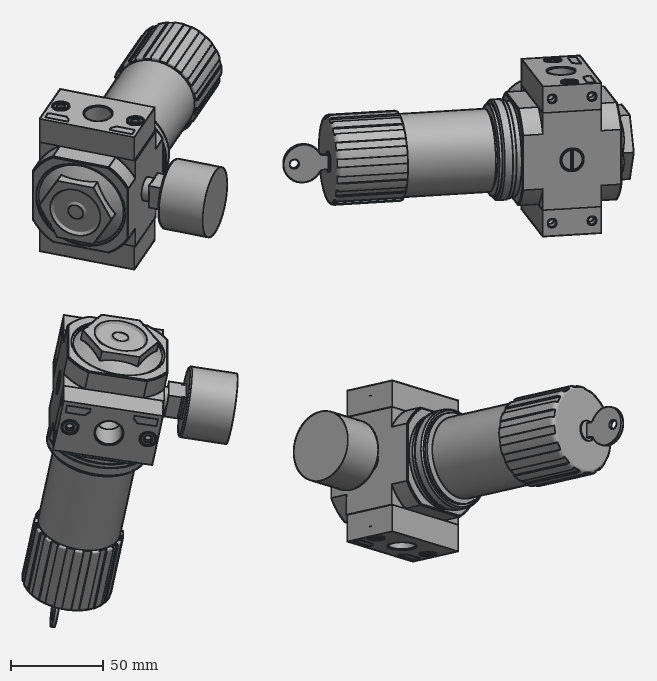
import cadquery as cq
import math


block_left_x = -27.9
block_right_x = 27.5
block_half_z = 27.5
block_half_y = 27.7
block_corner_radius = 31.9
block_edge_chamfer = 0.5
plate_width = 32.5

port_diameter = 14.9
port_mouth_diameter = 16.0
plug_diameter = 12.2
plug_rim_diameter = 11.5
plug_mouth_diameter = 13.2
plug_depth = 7.6
plug_slot_width = 1.1
plug_slot_depth = 1.1

collar_foot_radius = 26.2
collar_foot_end = 30.5
collar_lip_radius = 27.0
collar_lip_end = 32.7
collar_ring_radius = 27.5
collar_ring_end = 38.2
collar_ring_chamfer = 1.0
collar_cover_radius = 25.2
collar_cover_end = 39.7
neck_radius = 20.0
sleeve_radius = 22.7
sleeve_start = 41.3
knob_radius = 24.6
knob_start = 90.2
knob_end = 129.9
knob_end_rounding = 2.5
knob_start_rounding = 1.1
flute_count = 16
flute_width = 4.4
flute_floor_radius = 23.5

lock_offset_x = -3.2
lock_diameter = 11.3
lock_end = 130.5
key_thickness = 2.0
key_tip = 155.0
key_head_radius = 10.7
key_neck_width = 8.0
key_neck_fillet = 2.9
key_hole_diameter = 5.2
key_hole_y = 149.2

dome_radius = 36.3
dome_groove_radius = 25.8
dome_groove_depth = 1.0
dome_cut_y = -32.5
hex_sides = 6
hex_across_flats = 36.3
hex_turn = 30
hex_end = -36.0
recess_mouth_radius = 14.5
recess_floor_radius = 13.2
recess_depth = 1.7
boss_height = 1.1
boss_base_diameter = 11.3
boss_top_diameter = 8.5
boss_fillet = 0.5

plate_right_x = 27.0
total_height = 85.0
side_hole_y = 11.0
side_hole_z = 35.1
side_hole_diameter = 4.2
side_hole_mouth_diameter = 5.2
side_hole_depth = 5.7
label_length = 13.0
label_height = 4.5
label_top_length = 10.7
label_side_height = 2.0
label_margin = 2.3
label_bottom_y = -13.5
label_depth = 0.2
label_corner_radius = 0.8

screw_x = 21.5
screw_head_diameter = 8.8
screw_head_chamfer = 0.5
screw_seat_diameter = 9.5
screw_head_height = 5.7
screw_shank_diameter = 5.7
screw_thread_depth = 7.6
socket_diameter = 4.2
socket_mouth_diameter = 5.0
socket_depth = 2.3

gauge_radius = 19.5
gauge_start = 41.5
gauge_end = 67.6
gauge_edge_chamfer = 1.0
stem_diameter = 13.2
square_size = 14.0
square_start = 31.9
square_groove_start = 39.2
square_groove_width = 1.1
square_groove_depth = 0.8

drill_point_angle = 118

edge_pick_margin = 0.2

plate_outer_z = total_height / 2
block_length = block_right_x - block_left_x
block_centre_x = (block_right_x + block_left_x) / 2
plate_length = plate_right_x - block_left_x
plate_height = plate_outer_z - block_half_z
plate_centre_x = (plate_right_x + block_left_x) / 2
seat_z = plate_outer_z - screw_head_height
screw_tip_z = block_half_z - screw_thread_depth


def y_cylinder(radius, start, end):
    """Cylinder around the Y axis between two Y positions."""
    return cq.Workplane("XZ", origin=(0, start, 0)).circle(radius).extrude(start - end)


def drilled_cone(radius):
    """Height of the conical drill point of a hole with this radius."""
    return radius / math.tan(math.radians(drill_point_angle / 2))


def blind_hole(mouth_diameter, diameter, depth):
    """Hole cutter along -Z from the origin with a chamfered mouth and a drill-point bottom."""
    radius = diameter / 2
    mouth_radius = mouth_diameter / 2
    profile = [
        (0, 0),
        (mouth_radius, 0),
        (radius, radius - mouth_radius),
        (radius, -depth),
        (0, -depth - drilled_cone(radius)),
    ]
    return cq.Workplane("XZ").polyline(profile).close().revolve(360, (0, 0, 0), (0, 1, 0))


def make_block():
    """Square block with rounded corners and a full square band under the plates."""
    block = cq.Workplane("XY").box(block_length, 2 * block_half_y, 2 * block_half_z)
    block = block.translate((block_centre_x, 0, 0))
    block = block.intersect(y_cylinder(block_corner_radius, -block_half_y, block_half_y))
    block = block.faces("<Y or >Y").chamfer(block_edge_chamfer)
    band = cq.Workplane("XY").box(block_length, plate_width, 2 * block_half_z)
    return block.union(band.translate((block_centre_x, 0, 0)))


def make_collar_and_sleeve():
    """Stepped collar, neck and sleeve turned around the Y axis."""
    profile = [
        (0, block_half_y),
        (collar_foot_radius, block_half_y),
        (collar_foot_radius, collar_foot_end),
        (collar_lip_radius, collar_foot_end),
        (collar_lip_radius, collar_lip_end),
        (collar_ring_radius, collar_lip_end),
        (collar_ring_radius, collar_ring_end - collar_ring_chamfer),
        (collar_ring_radius - collar_ring_chamfer, collar_ring_end),
        (collar_cover_radius, collar_ring_end),
        (collar_cover_radius, collar_cover_end),
        (neck_radius, collar_cover_end),
        (neck_radius, sleeve_start),
        (sleeve_radius, sleeve_start),
        (sleeve_radius, knob_start),
        (0, knob_start),
    ]
    return cq.Workplane("XY").polyline(profile).close().revolve(360, (0, 0, 0), (0, 1, 0))


def make_knob():
    """Fluted knob with rounded rib ends and the round lock in its end face."""
    knob = y_cylinder(knob_radius, knob_start, knob_end)
    knob = knob.faces(">Y").edges().fillet(knob_end_rounding)
    knob = knob.faces("<Y").edges().fillet(knob_start_rounding)
    flute_depth = knob_radius - flute_floor_radius
    flute = cq.Workplane("XY").box(
        2 * flute_depth, knob_end - knob_start, flute_width, centered=(False, False, True)
    ).translate((flute_floor_radius, knob_start, 0))
    pitch = 360 / flute_count
    for index in range(flute_count):
        knob = knob.cut(flute.rotate((0, 0, 0), (0, 1, 0), (index + 0.5) * pitch))
    lock = y_cylinder(lock_diameter / 2, knob_start, lock_end).translate((lock_offset_x, 0, 0))
    return knob.union(lock)


def add_bottom_cap(block):
    """Domed cap in an annular groove, with a hexagon and a central boss."""
    groove_floor = dome_groove_depth - block_half_y
    block = block.cut(y_cylinder(dome_groove_radius, groove_floor, -block_half_y))
    dome = cq.Workplane("XY").sphere(dome_radius)
    dome = dome.intersect(y_cylinder(dome_groove_radius, dome_cut_y, groove_floor))
    hexagon = (
        cq.Workplane("XZ", origin=(0, groove_floor, 0))
        .polygon(hex_sides, hex_across_flats, circumscribed=True)
        .extrude(groove_floor - hex_end)
        .rotate((0, 0, 0), (0, 1, 0), hex_turn)
    )
    recess_floor = hex_end + recess_depth
    recess = (
        cq.Workplane("XZ", origin=(0, hex_end, 0))
        .circle(recess_mouth_radius)
        .workplane(offset=-recess_depth)
        .circle(recess_floor_radius)
        .loft()
    )
    boss = (
        cq.Workplane("XZ", origin=(0, recess_floor, 0))
        .circle(boss_base_diameter / 2)
        .workplane(offset=boss_height)
        .circle(boss_top_diameter / 2)
        .loft()
    )
    cap = dome.union(hexagon).cut(recess).union(boss)
    boss_foot = cq.selectors.BoxSelector(
        (-boss_base_diameter, recess_floor - edge_pick_margin, -boss_base_diameter),
        (boss_base_diameter, recess_floor + edge_pick_margin, boss_base_diameter),
    )
    cap = cap.edges("%CIRCLE").edges(boss_foot).fillet(boss_fillet)
    return block.union(cap)


def make_plug():
    """Slotted plug filling the unused gauge port on the -X side."""
    rim_chamfer = (plug_diameter - plug_rim_diameter) / 2
    plug = cq.Workplane("YZ", origin=(block_left_x, 0, 0)).circle(plug_diameter / 2).extrude(plug_depth)
    plug = plug.faces("<X").chamfer(rim_chamfer)
    slot = cq.Workplane("XY").box(2 * plug_slot_depth, plug_slot_width, plug_diameter)
    return plug.cut(slot.translate((block_left_x, 0, 0)))


def cut_plug_port(block):
    """Port for the plug, with a chamfered mouth."""
    mouth_chamfer = (plug_mouth_diameter - plug_diameter) / 2
    port = cq.Workplane("YZ", origin=(block_left_x, 0, 0)).circle(plug_diameter / 2).extrude(plug_depth)
    mouth = (
        cq.Workplane("YZ", origin=(block_left_x, 0, 0))
        .circle(plug_mouth_diameter / 2)
        .workplane(offset=mouth_chamfer)
        .circle(plug_diameter / 2)
        .loft()
    )
    return block.cut(port).cut(mouth)


def make_regulator():
    """Block, collar, sleeve, knob and cap, with the ports and thread holes."""
    regulator = cut_plug_port(add_bottom_cap(make_block()))
    regulator = regulator.union(make_collar_and_sleeve()).union(make_knob())
    flow_port = cq.Workplane("XY").circle(port_diameter / 2).extrude(block_half_z, both=True)
    regulator = regulator.cut(flow_port)
    for side in (-1, 1):
        for x in (-screw_x, screw_x):
            thread = (
                cq.Workplane("XY", origin=(x, 0, side * screw_tip_z))
                .circle(screw_shank_diameter / 2)
                .extrude(side * screw_thread_depth)
            )
            regulator = regulator.cut(thread)
    return regulator


def cut_label(plate, mirrored):
    """Shallow label field with one bevelled corner, in the top of a plate."""
    field = (
        cq.Workplane("XY")
        .moveTo(0, 0)
        .lineTo(label_length, 0)
        .lineTo(label_length, label_side_height)
        .lineTo(label_top_length, label_height)
        .lineTo(0, label_height)
        .close()
        .extrude(-label_depth)
        .edges("|Z and <X and >Y")
        .fillet(label_corner_radius)
        .translate((label_margin - plate_length / 2, label_bottom_y, plate_outer_z))
    )
    if mirrored:
        field = field.mirror("YZ")
    return plate.cut(field.translate((plate_centre_x, 0, 0)))


def make_plate():
    """Port plate on the +Z side of the block."""
    plate = cq.Workplane("XY").box(plate_length, plate_width, plate_height)
    plate = plate.translate((plate_centre_x, 0, block_half_z + plate_height / 2))

    bore = cq.Workplane("XY", origin=(0, 0, block_half_z)).circle(port_diameter / 2).extrude(plate_height)
    mouth_chamfer = (port_mouth_diameter - port_diameter) / 2
    mouth = (
        cq.Workplane("XY", origin=(0, 0, plate_outer_z))
        .circle(port_mouth_diameter / 2)
        .workplane(offset=-mouth_chamfer)
        .circle(port_diameter / 2)
        .loft()
    )
    plate = plate.cut(bore).cut(mouth)

    screw_places = [(-screw_x, 0), (screw_x, 0)]
    clearance = (
        cq.Workplane("XY", origin=(0, 0, block_half_z))
        .pushPoints(screw_places)
        .circle(screw_shank_diameter / 2)
        .extrude(plate_height)
    )
    seats = (
        cq.Workplane("XY", origin=(0, 0, seat_z))
        .pushPoints(screw_places)
        .circle(screw_seat_diameter / 2)
        .extrude(screw_head_height)
    )
    plate = plate.cut(clearance).cut(seats)

    side_hole = blind_hole(side_hole_mouth_diameter, side_hole_diameter, side_hole_depth)
    side_hole = side_hole.rotate((0, 0, 0), (0, 1, 0), -90)
    for y in (-side_hole_y, side_hole_y):
        plate = plate.cut(side_hole.translate((block_left_x, y, side_hole_z)))

    return cut_label(cut_label(plate, False), True)


def make_screw(x):
    """Socket-head screw that holds the +Z plate."""
    head = (
        cq.Workplane("XY", origin=(x, 0, seat_z))
        .circle(screw_head_diameter / 2)
        .extrude(screw_head_height)
    )
    head = head.faces(">Z").chamfer(screw_head_chamfer)
    shank = (
        cq.Workplane("XY", origin=(x, 0, screw_tip_z))
        .circle(screw_shank_diameter / 2)
        .extrude(seat_z - screw_tip_z)
    )
    socket = blind_hole(socket_mouth_diameter, socket_diameter, socket_depth).translate((x, 0, plate_outer_z))
    return head.union(shank).cut(socket)


def make_gauge():
    """Pressure gauge: round stem, grooved wrench square and round case."""
    case = (
        cq.Workplane("YZ", origin=(gauge_start, 0, 0))
        .circle(gauge_radius)
        .extrude(gauge_end - gauge_start)
    )
    case = case.faces("<X").chamfer(gauge_edge_chamfer)
    stem = (
        cq.Workplane("YZ", origin=(block_right_x, 0, 0))
        .circle(stem_diameter / 2)
        .extrude(square_start - block_right_x)
    )
    square = (
        cq.Workplane("YZ", origin=(square_start, 0, 0))
        .rect(square_size, square_size)
        .extrude(gauge_start - square_start)
    )
    groove = cq.Workplane("XY").box(square_groove_width, square_size, 2 * square_groove_depth)
    groove_x = square_groove_start + square_groove_width / 2
    for side in (-1, 1):
        square = square.cut(groove.translate((groove_x, 0, side * square_size / 2)))
    return case.union(stem).union(square)


def make_key():
    """Flat key standing on the lock face, with a round head and a ring hole."""
    head_y = key_tip - key_head_radius
    head = cq.Workplane("YZ").center(head_y, 0).circle(key_head_radius).extrude(key_thickness)
    neck = (
        cq.Workplane("YZ")
        .center((lock_end + head_y) / 2, 0)
        .rect(head_y - lock_end, key_neck_width)
        .extrude(key_thickness)
    )
    neck_corners = cq.selectors.BoxSelector(
        (-key_thickness, lock_end + edge_pick_margin, -key_neck_width),
        (2 * key_thickness, head_y - edge_pick_margin, key_neck_width),
    )
    key = head.union(neck).edges("|X").edges(neck_corners).fillet(key_neck_fillet)
    ring_hole = (
        cq.Workplane("YZ").center(key_hole_y, 0).circle(key_hole_diameter / 2).extrude(key_thickness)
    )
    return key.cut(ring_hole).translate((lock_offset_x - key_thickness / 2, 0, 0))


regulator = make_regulator()
plug = make_plug()
gauge = make_gauge()
key = make_key()

upper_plate = make_plate()
lower_plate = upper_plate.mirror("XY")

screws = []
for screw_place in (-screw_x, screw_x):
    upper_screw = make_screw(screw_place)
    screws.append(upper_screw)
    screws.append(upper_screw.mirror("XY"))

bodies = [regulator, plug, gauge, key, upper_plate, lower_plate, *screws]
result = cq.Compound.makeCompound([body.solids().val() for body in bodies])